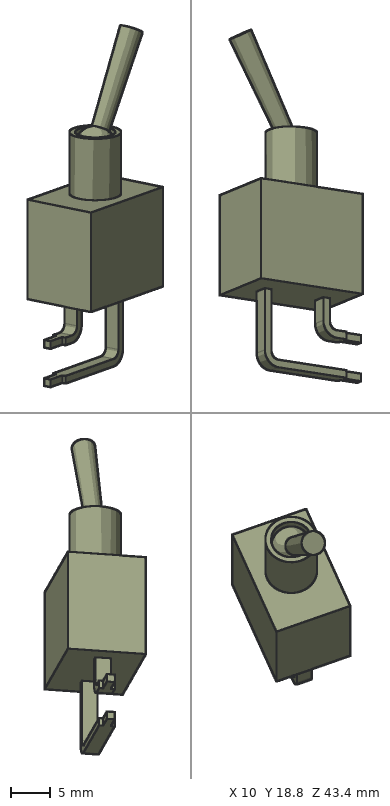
import cadquery as cq

body_width = 10.0
body_depth = 15.0
body_height = 13.0
bushing_diameter = 6.5
bushing_height = 8.0
bushing_top = body_height + bushing_height

ball_radius = 2.5
ball_depth = 1.8
lever_tilt = 29.0
lever_length = 15.45
lever_root_diameter = 2.2
lever_tip_diameter = 3.0

terminal_thickness = 1.0
terminal_width = 2 * terminal_thickness
bend_outer_radius = 2 * terminal_thickness
bend_inner_radius = bend_outer_radius - terminal_thickness
tip_width = terminal_thickness
tip_end_y = -10.0
shoulder_y = -body_depth / 2
long_terminal_y = 4.0
long_terminal_drop = 10.0
short_terminal_y = -4.6
short_terminal_drop = 5.0


def make_housing():
    body = cq.Workplane("XY").box(body_width, body_depth, body_height, centered=(True, True, False))
    bushing = cq.Workplane("XY").workplane(offset=body_height).circle(bushing_diameter / 2)
    bore = cq.Workplane("XY").workplane(offset=bushing_top - ball_depth).circle(ball_radius)
    return body.union(bushing.extrude(bushing_height)).cut(bore.extrude(ball_depth))


def make_lever():
    """Ball and tapered handle, built upright and then tilted about the ball centre."""
    ball = cq.Workplane("XY").sphere(ball_radius)
    handle = (
        cq.Workplane("XY")
        .circle(lever_root_diameter / 2)
        .workplane(offset=lever_length)
        .circle(lever_tip_diameter / 2)
        .loft(ruled=True)
    )
    handle = handle.rotate((0, 0, 0), (1, 0, 0), -lever_tilt)
    return ball.union(handle).translate((0, 0, bushing_top - ball_depth))


def make_terminal(center_y, drop):
    """L-shaped strip going down from the housing and bending toward -Y."""
    back_y = center_y + terminal_thickness / 2
    front_y = center_y - terminal_thickness / 2
    bend_y = back_y - bend_outer_radius
    bend_z = bend_outer_radius - drop
    strip = (
        cq.Workplane("YZ")
        .moveTo(front_y, 0)
        .lineTo(back_y, 0)
        .lineTo(back_y, bend_z)
        .radiusArc((bend_y, -drop), bend_outer_radius)
        .lineTo(shoulder_y, -drop)
        .lineTo(shoulder_y, terminal_thickness - drop)
        .lineTo(bend_y, terminal_thickness - drop)
        .radiusArc((front_y, bend_z), -bend_inner_radius)
        .close()
        .extrude(terminal_width / 2, both=True)
    )
    tip = (
        cq.Workplane("XY")
        .box(tip_width, shoulder_y - tip_end_y, terminal_thickness, centered=(True, False, False))
        .translate((0, tip_end_y, -drop))
    )
    return strip.union(tip)


result = make_housing().union(make_lever())
for terminal_y, terminal_drop in (
    (long_terminal_y, long_terminal_drop),
    (short_terminal_y, short_terminal_drop),
):
    result = result.union(make_terminal(terminal_y, terminal_drop))